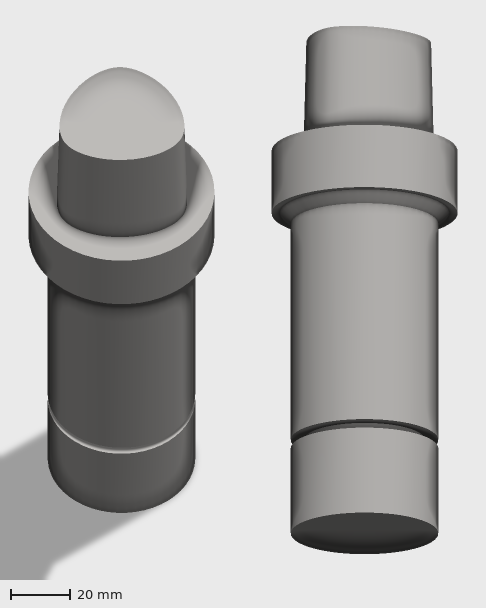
import cadquery as cq
import math

TOTAL_LENGTH = 173.0
SHANK_LENGTH = 38.0
FLANGE_HEIGHT = 22.0
RELIEF_HEIGHT = 3.75
GROOVE_BOTTOM = 30.0
GROOVE_WIDTH = 3.0

FLANGE_DIAMETER = 63.0
BODY_DIAMETER = 50.0
GROOVE_DIAMETER = 41.0

SHANK_BASE_WIDTH = 44.2
SHANK_TAPER = 1 / 20
LOBE_COUNT = 3
LOBE_ECCENTRICITY = 1.4
OUTLINE_STEPS = 24

flange_top = TOTAL_LENGTH - SHANK_LENGTH
flange_bottom = flange_top - FLANGE_HEIGHT
relief_bottom = flange_bottom - RELIEF_HEIGHT
groove_top = GROOVE_BOTTOM + GROOVE_WIDTH

flange_radius = FLANGE_DIAMETER / 2
body_radius = BODY_DIAMETER / 2
groove_radius = GROOVE_DIAMETER / 2
relief_top_radius = body_radius + RELIEF_HEIGHT


def lobed_outline(width):
    """Points around a curve of constant width with one lobe pointing to -Y."""
    points = []
    for step in range(OUTLINE_STEPS):
        turn = 2 * math.pi * step / OUTLINE_STEPS
        support = width / 2 + LOBE_ECCENTRICITY * math.cos(LOBE_COUNT * turn)
        slope = -LOBE_COUNT * LOBE_ECCENTRICITY * math.sin(LOBE_COUNT * turn)
        along_lobe = support * math.cos(turn) - slope * math.sin(turn)
        across_lobe = support * math.sin(turn) + slope * math.cos(turn)
        points.append((across_lobe, -along_lobe))
    return points


def make_shank():
    """Tapered lobed shank standing on the flange."""
    top_width = SHANK_BASE_WIDTH - SHANK_LENGTH * SHANK_TAPER
    return (
        cq.Workplane("XY")
        .workplane(offset=flange_top)
        .spline(lobed_outline(SHANK_BASE_WIDTH), periodic=True)
        .close()
        .workplane(offset=SHANK_LENGTH)
        .spline(lobed_outline(top_width), periodic=True)
        .close()
        .loft()
    )


def make_holder():
    """Flanged holder: shank, flange, relief cone, long body and neck."""
    profile = [
        (0, GROOVE_BOTTOM),
        (groove_radius, GROOVE_BOTTOM),
        (groove_radius, groove_top),
        (body_radius, groove_top),
        (body_radius, relief_bottom),
        (relief_top_radius, flange_bottom),
        (flange_radius, flange_bottom),
        (flange_radius, flange_top),
        (0, flange_top),
    ]
    turned = cq.Workplane("XZ").polyline(profile).close().revolve(360, (0, 0, 0), (0, 1, 0))
    return turned.union(make_shank())


def make_end_cap():
    """Plain cylinder below the groove."""
    return cq.Workplane("XY").circle(body_radius).extrude(GROOVE_BOTTOM)


holder = make_holder()
end_cap = make_end_cap()

result = cq.Compound.makeCompound([holder.val(), end_cap.val()])